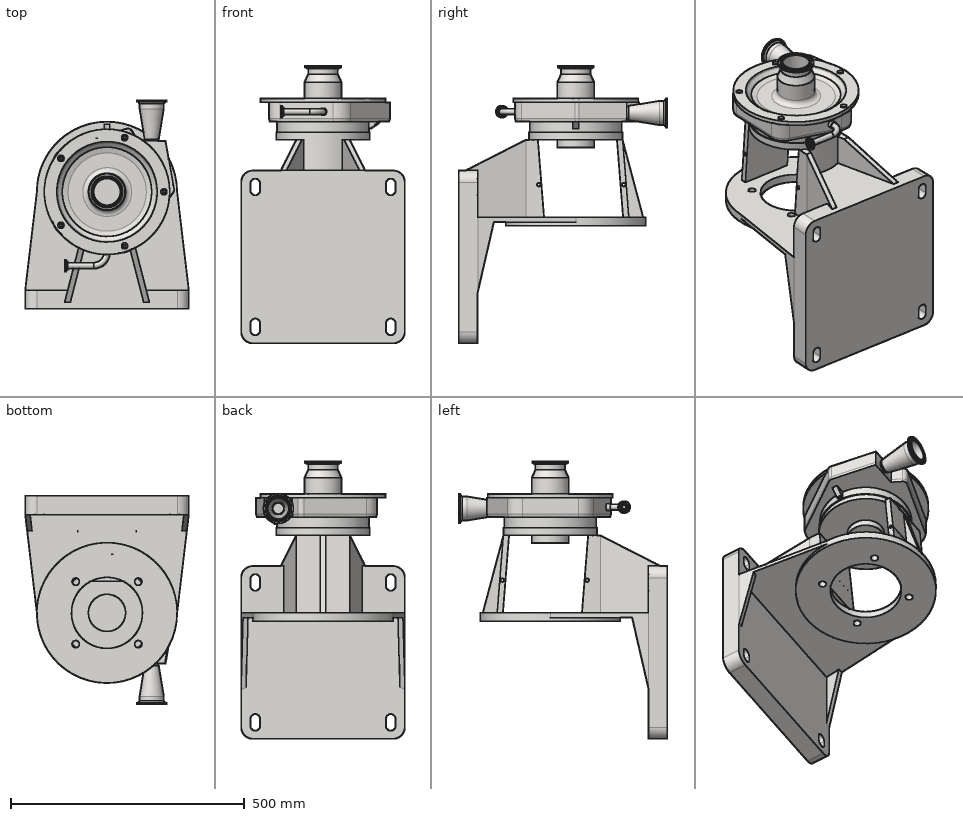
import cadquery as cq
import math


wall_width = 350.0
wall_height = 370.0
wall_thickness = 40.5
wall_front_y = -250.5
wall_back_y = wall_front_y + wall_thickness
wall_corner_radius = 25.0
slot_length = 35.0
slot_width = 20.0
slot_spacing_x = 289.5
slot_spacing_z = 299.0

base_top_z = 270.0
base_thickness = 10.5
base_ring_thickness = 19.0
base_radius = 150.0
base_bore_radius = 76.0
base_bolt_count = 4
base_bolt_start_angle = 45
base_bolt_hole_radius = 8.0
base_bolt_circle_radius = 94.5
gusset_thickness = 10.5
gusset_tip_y = -174.5
gusset_foot_z = 105.5

seat_bottom_z = 435.0
seat_top_z = 451.0
seat_radius = 100.5
leg_half_width = 57.5
leg_lean = 13.0
front_leg_inner_y = -81.0
rear_leg_inner_y = 88.0
rear_leg_thickness = 12.5
rear_rib_width = 11.0
rear_rib_foot_y = 144.0
front_rib_width = 12.0
front_rib_angle = 14.4
front_rib_start_y = -107.5
front_rib_end_y = -235.5
deck_thickness = 10.5
pin_hole_radius = 3.5
pin_hole_z = 339.5
front_pin_y = -79.0
rear_pin_y = 102.5
hub_radius = 40.0
hub_bottom_z = 418.5
neck_radius = 98.5

body_bottom_z = 474.0
body_bevel_height = 7.0
body_bevel_inset = 2.0
body_apothem = 116.0
body_corner_radius = 33.0
outlet_corner_radius = 11.0
outlet_peak_x = 50.0
outlet_face_y = 109.0
outlet_face_left_x = 65.0
outlet_face_right_x = 125.0
outlet_side_angle = 10.0
lug_half_thickness = 6.0
lug_reach_x = 120.5
lug_foot_x = 103.0
lug_bottom_z = 459.5

cover_bottom_z = 515.0
cover_top_z = 524.0
cover_radius = 134.0
screw_count = 5
screw_circle_radius = 121.5
screw_recess_radius = 6.5
screw_recess_depth = 6.0
screw_socket_radius = 3.0
screw_socket_depth = 9.0
dish_rim_radius = 107.5
dish_step_radius = 105.0
dish_wall_radius = 95.5
dish_floor_radius = 83.5
dish_step_depth = 2.0
dish_wall_depth = 10.5
dish_depth = 14.0
dish_floor_z = cover_top_z - dish_depth

inlet_radius = 40.0
inlet_root_fillet = 12.5
inlet_shoulder_z = 558.5
inlet_neck_z = 575.0
inlet_neck_radius = 32.0
inlet_flange_z = 587.0
inlet_rim_z = 590.0
inlet_flange_radius = 38.5
inlet_top_z = 593.5
inlet_bore_radius = 28.5
inlet_bore_floor_z = 486.5
inlet_groove_radius = 34.0

outlet_x = 95.5
outlet_z = 492.5
outlet_collar_radius = 13.5
outlet_cone_radius = 15.5
outlet_cone_y = 113.0
outlet_neck_radius = 26.0
outlet_neck_y = 178.0
outlet_flange_radius = 32.0
outlet_flange_y = 188.0
outlet_rim_y = 192.0
outlet_shoulder_radius = 29.0
outlet_end_y = 196.0
outlet_wall = 3.5
outlet_groove_radius = 28.0

groove_width = 2.5
groove_depth = 1.0

drain_y = -158.0
drain_z = 495.5
drain_radius = 6.5
drain_bore_radius = 4.0
drain_flange_radius = 13.0
drain_flange_thickness = 3.5
drain_hub_radius = 9.5
drain_hub_length = 6.5
drain_groove_radius = 9.0
drain_end_x = -90.0
drain_bend_radius = 28.5
drain_socket_radius = 8.0
drain_socket_y = -128.0
drain_root_y = -107.0


def cylinder(radius, z_low, z_high):
    return cq.Workplane("XY").workplane(offset=z_low).circle(radius).extrude(z_high - z_low)


def side_plate(points, x_middle, width):
    """A plate with a (Y, Z) outline, centred on x_middle."""
    plane = cq.Workplane("YZ", origin=(x_middle, 0, 0))
    return plane.polyline(points).close().extrude(width / 2, both=True)


def gasket_groove(plane, outer_radius):
    """Ring to be cut from a flange face; the plane's normal points out of the flange."""
    return plane.circle(outer_radius).circle(outer_radius - groove_width).extrude(-groove_depth)


def make_wall():
    wall = (
        cq.Workplane("XY")
        .box(wall_width, wall_thickness, wall_height)
        .edges("|Y")
        .fillet(wall_corner_radius)
        .faces("<Y")
        .workplane()
        .rarray(slot_spacing_x, slot_spacing_z, 2, 2)
        .slot2D(slot_length, slot_width, 90)
        .cutThruAll()
    )
    return wall.translate((0, wall_front_y + wall_thickness / 2, wall_height / 2))


def make_base():
    corner_x = wall_width / 2
    plate_bottom_z = base_top_z - base_thickness
    plate = (
        cq.Workplane("XY", origin=(0, 0, plate_bottom_z))
        .moveTo(corner_x, wall_back_y)
        .lineTo(base_radius, 0)
        .threePointArc((0, base_radius), (-base_radius, 0))
        .lineTo(-corner_x, wall_back_y)
        .close()
        .extrude(base_thickness)
    )
    base = plate.union(cylinder(base_radius, base_top_z - base_ring_thickness, base_top_z))

    gusset_outline = [(gusset_tip_y, base_top_z), (wall_back_y, base_top_z), (wall_back_y, gusset_foot_z),
                      (gusset_tip_y, plate_bottom_z)]
    side_turn = math.degrees(math.atan2(corner_x - base_radius, -wall_back_y))
    for side in (-1, 1):
        gusset = side_plate(gusset_outline, side * (corner_x - gusset_thickness / 2), gusset_thickness)
        pivot = (side * corner_x, wall_back_y)
        base = base.union(gusset.rotate((*pivot, 0), (*pivot, 1), side * side_turn))

    holes = (
        cq.Workplane("XY")
        .polarArray(base_bolt_circle_radius, base_bolt_start_angle, 360, base_bolt_count)
        .circle(base_bolt_hole_radius)
        .extrude(base_top_z)
    )
    return base.cut(cylinder(base_bore_radius, 0, base_top_z)).cut(holes)


def make_front_leg():
    """A leg rounded like the seat, with two splayed ribs and a deck reaching back to the wall plate."""
    leg_outline = [(front_leg_inner_y, seat_bottom_z), (front_leg_inner_y + leg_lean, base_top_z),
                   (-seat_radius, base_top_z), (-seat_radius, seat_bottom_z)]
    leg = side_plate(leg_outline, 0, 2 * leg_half_width)
    leg = leg.intersect(cylinder(seat_radius, base_top_z, seat_bottom_z))

    splay = math.tan(math.radians(front_rib_angle))
    rib_width_x = front_rib_width / math.cos(math.radians(front_rib_angle))

    def rib_outer_x(y):
        return leg_half_width + (front_rib_start_y - y) * splay

    def rib_inner_x(y):
        return rib_outer_x(y) - rib_width_x

    rib_side = side_plate(
        [(front_leg_inner_y, base_top_z), (front_leg_inner_y, seat_bottom_z),
         (front_rib_start_y, seat_bottom_z), (front_rib_end_y, wall_height), (front_rib_end_y, base_top_z)],
        0,
        wall_width,
    )
    rib_plan = [(leg_half_width, front_leg_inner_y), (leg_half_width, front_rib_start_y),
                (rib_outer_x(front_rib_end_y), front_rib_end_y),
                (rib_inner_x(front_rib_end_y), front_rib_end_y),
                (rib_inner_x(front_leg_inner_y), front_leg_inner_y)]
    rib = cq.Workplane("XY").polyline(rib_plan).close().extrude(seat_bottom_z).intersect(rib_side)

    deck_near_x = rib_inner_x(front_leg_inner_y)
    deck_far_x = rib_inner_x(wall_back_y)
    deck_plan = [(deck_near_x, front_leg_inner_y), (deck_far_x, wall_back_y),
                 (-deck_far_x, wall_back_y), (-deck_near_x, front_leg_inner_y)]
    deck = cq.Workplane("XY", origin=(0, 0, wall_height)).polyline(deck_plan).close().extrude(-deck_thickness)
    return leg.union(rib).union(rib.mirror("YZ")).union(deck)


def make_rear_leg():
    """A leaning plate with one rib behind it."""
    outer_y = rear_leg_inner_y + rear_leg_thickness
    leg_outline = [(rear_leg_inner_y, seat_bottom_z), (outer_y, seat_bottom_z),
                   (outer_y + leg_lean, base_top_z), (rear_leg_inner_y + leg_lean, base_top_z)]
    rib_outline = [(rear_leg_inner_y, seat_bottom_z), (outer_y, seat_bottom_z),
                   (rear_rib_foot_y, base_top_z), (rear_leg_inner_y + leg_lean, base_top_z)]
    return side_plate(leg_outline, 0, 2 * leg_half_width).union(side_plate(rib_outline, 0, rear_rib_width))


def make_pedestal():
    pin_holes = (
        cq.Workplane("YZ")
        .pushPoints([(front_pin_y, pin_hole_z), (rear_pin_y, pin_hole_z)])
        .circle(pin_hole_radius)
        .extrude(leg_half_width, both=True)
    )
    legs = make_front_leg().union(make_rear_leg()).cut(pin_holes)
    seat = cylinder(seat_radius, seat_bottom_z, seat_top_z)
    hub = cylinder(hub_radius, hub_bottom_z, seat_bottom_z)
    neck = cylinder(neck_radius, seat_top_z, body_bottom_z)
    return legs.union(seat).union(hub).union(neck)


def meet(line_a, line_b):
    """Crossing point of two lines, each given by its normal angle and its distance from the axis."""
    angle_a, distance_a = math.radians(line_a[0]), line_a[1]
    angle_b, distance_b = math.radians(line_b[0]), line_b[1]
    spread = math.sin(angle_b - angle_a)
    x = (distance_a * math.sin(angle_b) - distance_b * math.sin(angle_a)) / spread
    y = (distance_b * math.cos(angle_a) - distance_a * math.cos(angle_b)) / spread
    return x, y


def make_body():
    """Rounded pentagon whose +X +Y corner is drawn out into the outlet block, with a lug below."""
    pentagon_sides = [(angle, body_apothem) for angle in (108, 180, 252, 324)]
    round_corners = [meet(a, b) for a, b in zip(pentagon_sides, pentagon_sides[1:])]

    side_turn = math.radians(outlet_side_angle)
    side_distance = outlet_face_right_x * math.cos(side_turn) + outlet_face_y * math.sin(side_turn)
    right_corner = meet(pentagon_sides[-1], (outlet_side_angle, side_distance))
    peak = meet(pentagon_sides[0], (0, outlet_peak_x))
    outlet_face = [(outlet_face_right_x, outlet_face_y), (outlet_face_left_x, outlet_face_y)]

    outline = [peak, *round_corners, right_corner, *outlet_face]
    body = cq.Workplane("XY", origin=(0, 0, body_bottom_z)).polyline(outline).close()
    body = body.extrude(cover_bottom_z - body_bottom_z)

    rounding = [(corner, body_corner_radius) for corner in round_corners]
    rounding += [(corner, outlet_corner_radius) for corner in (peak, right_corner)]
    middle_z = (body_bottom_z + cover_bottom_z) / 2
    for corner, radius in rounding:
        edge = cq.selectors.NearestToPointSelector((*corner, middle_z))
        body = body.edges("|Z").edges(edge).fillet(radius)
    body = body.faces("<Z").chamfer(body_bevel_inset, body_bevel_height)

    lug_outline = [(0, body_bottom_z), (lug_reach_x, body_bottom_z),
                   (lug_foot_x, lug_bottom_z), (0, lug_bottom_z)]
    lug = cq.Workplane("XZ").polyline(lug_outline).close().extrude(lug_half_thickness, both=True)
    return body.union(lug)


def make_cover():
    """Cover flange with a ring of recessed socket screws."""
    screws = cq.Workplane("XY", origin=(0, 0, cover_top_z)).polarArray(screw_circle_radius, 0, 360, screw_count)
    recesses = screws.circle(screw_recess_radius).extrude(-screw_recess_depth)
    sockets = screws.circle(screw_socket_radius).extrude(-screw_socket_depth)
    return cylinder(cover_radius, cover_bottom_z, cover_top_z).cut(recesses).cut(sockets)


def make_dish():
    """Ring-shaped space around the inlet pipe, cut into the cover and the body."""
    profile = (
        cq.Workplane("XZ")
        .moveTo(dish_rim_radius, cover_top_z)
        .lineTo(dish_step_radius, cover_top_z - dish_step_depth)
        .lineTo(dish_wall_radius, cover_top_z - dish_wall_depth)
        .lineTo(dish_floor_radius, dish_floor_z)
        .lineTo(inlet_radius + inlet_root_fillet, dish_floor_z)
        .radiusArc((inlet_radius, dish_floor_z + inlet_root_fillet), inlet_root_fillet)
        .lineTo(inlet_radius, cover_top_z)
        .close()
    )
    return profile.revolve(360, (0, 0), (0, 1))


def make_inlet():
    profile = (
        cq.Workplane("XZ")
        .moveTo(0, dish_floor_z)
        .lineTo(inlet_radius, dish_floor_z)
        .lineTo(inlet_radius, inlet_shoulder_z)
        .lineTo(inlet_neck_radius, inlet_neck_z)
        .lineTo(inlet_neck_radius, inlet_flange_z)
        .lineTo(inlet_flange_radius, inlet_rim_z)
        .lineTo(inlet_flange_radius, inlet_top_z)
        .lineTo(0, inlet_top_z)
        .close()
    )
    pipe = profile.revolve(360, (0, 0), (0, 1))
    return pipe.cut(gasket_groove(cq.Workplane("XY", origin=(0, 0, inlet_top_z)), inlet_groove_radius))


def make_outlet():
    nozzle_plane = cq.Workplane("XY", origin=(outlet_x, 0, outlet_z))
    nozzle = (
        nozzle_plane.moveTo(0, outlet_face_y)
        .lineTo(outlet_collar_radius, outlet_face_y)
        .lineTo(outlet_collar_radius, outlet_cone_y)
        .lineTo(outlet_cone_radius, outlet_cone_y)
        .lineTo(outlet_neck_radius, outlet_neck_y)
        .lineTo(outlet_neck_radius, outlet_flange_y)
        .lineTo(outlet_shoulder_radius, outlet_rim_y)
        .lineTo(outlet_flange_radius, outlet_rim_y)
        .lineTo(outlet_flange_radius, outlet_end_y)
        .lineTo(0, outlet_end_y)
        .close()
        .revolve(360, (0, 0), (0, 1))
    )
    bore = (
        nozzle_plane.moveTo(0, outlet_cone_y)
        .lineTo(outlet_cone_radius - outlet_wall, outlet_cone_y)
        .lineTo(outlet_neck_radius - outlet_wall, outlet_neck_y)
        .lineTo(outlet_neck_radius - outlet_wall, outlet_end_y)
        .lineTo(0, outlet_end_y)
        .close()
        .revolve(360, (0, 0), (0, 1))
    )
    end_plane = cq.Workplane("ZX", origin=(outlet_x, outlet_end_y, outlet_z))
    return nozzle.cut(bore).cut(gasket_groove(end_plane, outlet_groove_radius))


def make_drain():
    """Bent tube leaving the body along -Y and turning to -X, with an end flange."""
    bend_offset = drain_bend_radius * (1 - math.sqrt(0.5))
    path = (
        cq.Workplane("XY", origin=(0, 0, drain_z))
        .moveTo(drain_end_x, drain_y)
        .lineTo(-drain_bend_radius, drain_y)
        .threePointArc((-bend_offset, drain_y + bend_offset), (0, drain_y + drain_bend_radius))
        .lineTo(0, drain_root_y)
    )
    end_plane = cq.Workplane("YZ", origin=(drain_end_x, drain_y, drain_z))
    tube = end_plane.circle(drain_radius).sweep(path)
    flange = end_plane.circle(drain_flange_radius).extrude(drain_flange_thickness)
    flange_hub = end_plane.circle(drain_hub_radius).extrude(drain_hub_length)
    bore = end_plane.circle(drain_bore_radius).extrude(-drain_bend_radius - drain_end_x)
    socket = (
        cq.Workplane("XZ", origin=(0, drain_root_y, drain_z))
        .circle(drain_socket_radius)
        .extrude(drain_root_y - drain_socket_y)
    )
    outward_plane = cq.Workplane("ZY", origin=(drain_end_x, drain_y, drain_z))
    groove = gasket_groove(outward_plane, drain_groove_radius)
    return tube.union(flange).union(flange_hub).cut(bore).cut(groove).union(socket)


pump = make_body().union(make_cover()).cut(make_dish())
pump = pump.union(make_inlet()).union(make_outlet()).union(make_drain())
pump = pump.cut(cylinder(inlet_bore_radius, inlet_bore_floor_z, inlet_top_z))
result = make_wall().union(make_base()).union(make_pedestal()).union(pump)